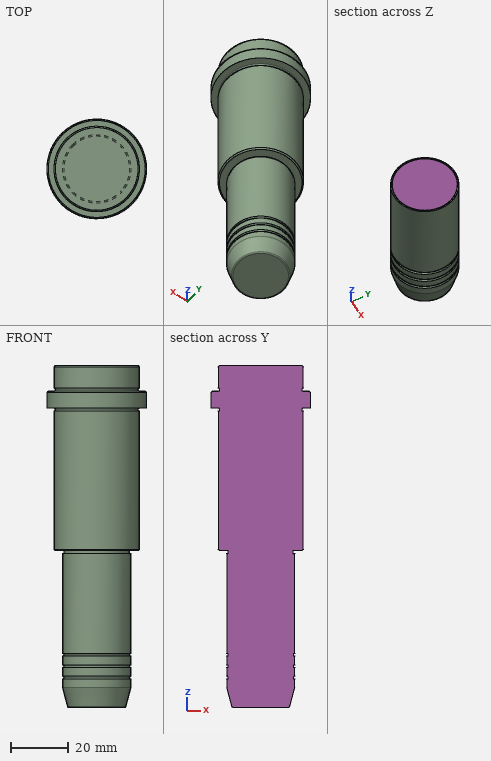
import cadquery as cq
import math

total_length = 120.0

head_diameter = 30.0
flange_diameter = 35.0
shaft_diameter = 24.0
undercut_diameter = 23.0

head_length = 9.0
flange_thickness = 6.0
sleeve_length = 50.0
undercut_width = 1.0
tip_length = 7.0

edge_chamfer = 0.5
tip_edge_radius = 0.5
tip_taper_angle = 15.0

groove_width = 1.0
groove_depth = 0.49
shaft_groove_count = 3
shaft_groove_pitch = 4.0
first_shaft_groove_z = 10.0

flange_top_z = total_length - head_length
flange_bottom_z = flange_top_z - flange_thickness
sleeve_bottom_z = flange_bottom_z - sleeve_length


def cylinder(diameter, bottom_z, top_z):
    """Round bar on the Z axis between two heights."""
    return cq.Workplane("XY").workplane(offset=bottom_z).circle(diameter / 2).extrude(top_z - bottom_z)


def revolve_about_z(profile):
    """Turn a closed profile, drawn as (radius, z), about the Z axis."""
    return profile.close().revolve(360, (0, 0, 0), (0, 1, 0))


def make_groove(diameter, bottom_z):
    """Cutter for a round-bottomed groove in a bar of the given diameter."""
    radius = diameter / 2
    floor_radius = radius - groove_depth
    top_z = bottom_z + groove_width
    arc_inset = groove_depth * (1 - math.sqrt(0.5))
    profile = (
        cq.Workplane("XZ")
        .moveTo(radius, bottom_z)
        .threePointArc((floor_radius + arc_inset, bottom_z + arc_inset), (floor_radius, bottom_z + groove_depth))
        .lineTo(floor_radius, top_z - groove_depth)
        .threePointArc((floor_radius + arc_inset, top_z - arc_inset), (radius, top_z))
    )
    return revolve_about_z(profile)


def make_body():
    """Chamfered head and sleeve, grooved on both sides of the flange."""
    barrel = cylinder(head_diameter, sleeve_bottom_z, total_length).faces("<Z or >Z").chamfer(edge_chamfer)
    for groove_z in (flange_top_z, flange_bottom_z - groove_width):
        barrel = barrel.cut(make_groove(head_diameter, groove_z))
    flange = cylinder(flange_diameter, flange_bottom_z, flange_top_z).faces(">Z").chamfer(edge_chamfer)
    return barrel.union(flange)


def make_shaft():
    """Shaft with an undercut below the sleeve, grooves and a tapered, rounded tip."""
    radius = shaft_diameter / 2
    undercut_radius = undercut_diameter / 2
    undercut_bottom_z = sleeve_bottom_z - undercut_width
    tip_radius = radius - tip_length * math.tan(math.radians(tip_taper_angle))
    profile = cq.Workplane("XZ").polyline([
        (0, 0),
        (tip_radius, 0),
        (radius, tip_length),
        (radius, undercut_bottom_z),
        (undercut_radius, undercut_bottom_z),
        (undercut_radius, sleeve_bottom_z),
        (0, sleeve_bottom_z),
    ])
    shaft = revolve_about_z(profile).faces("<Z").edges().fillet(tip_edge_radius)
    for index in range(shaft_groove_count):
        shaft = shaft.cut(make_groove(shaft_diameter, first_shaft_groove_z + index * shaft_groove_pitch))
    return shaft


result = make_body().union(make_shaft())